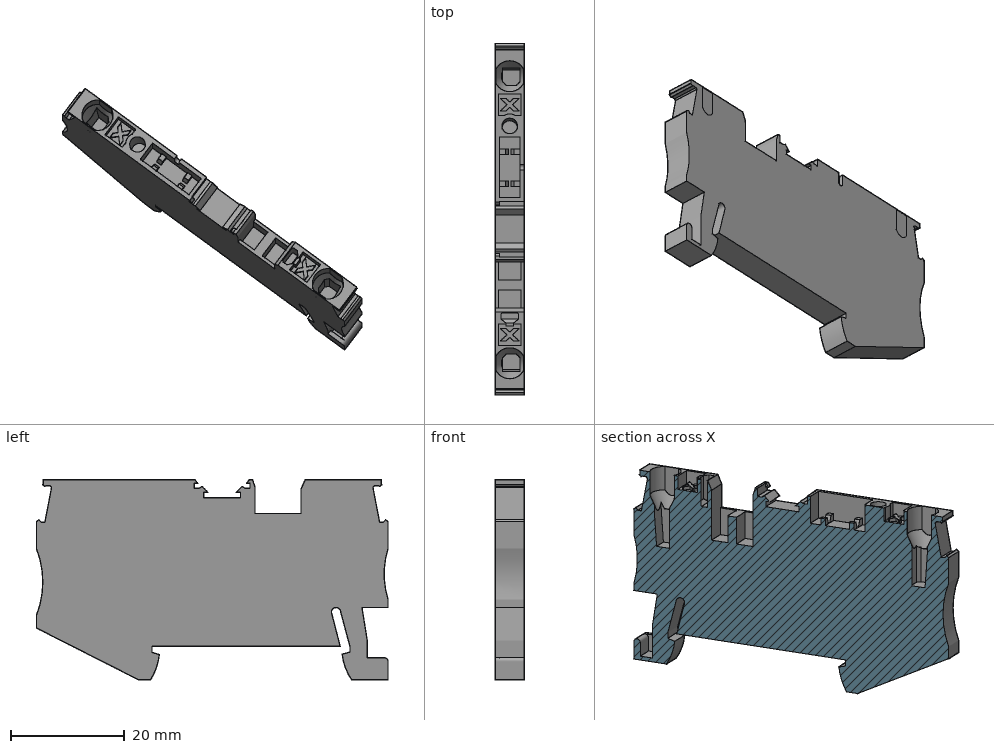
import cadquery as cq

length = 61.9
height = 35.2
width = 5.15
end = length / 2

floor_z = 5.9
arm_top_z = 12.7
foot_z = 3.9
foot_radius = 0.7
foot_slot_depth = 3.1
foot_wall = 0.8
arm_y = -27.3
ledge_z = 27.75
ridge_top_z = 28.15
lip_z = 34.35
lip_y = 29.8
heel_z = 9.1

groove_y = -1.75
groove_half = 4.9
groove_z = 33.75
groove_floor_half = 3.2
groove_floor_z = 32.05

notch_y = (-15.6, -7.55)
notch_z = 29.3

pair_middle_y = -0.09
wire_hole_y = 25.25
wire_hole_radius = 2.7
wire_hole_half_width = 2.385
wire_mouth_depth = 4.35
wire_funnel_depth = 3.1
wire_funnel_end_radius = 1.5
wire_duct_depth = 6.2
wire_duct_x = (-1.25, 1.8)
wire_duct_y = (23.65, 26.75)
wire_duct_corner = 0.6
wire_duct_slope = 0.45
button_y = 20.25
button_size = (3.95, 3.8)
button_depth = 2.5
cross_height = 0.6
cross_half_size = (1.7, 1.1)
cross_bar_width = 1.0

test_hole_y = 16.4
test_boss_radius = 2.1
test_hole_radius = 1.35
test_hole_depth = 4.95
test_hole_tilt = 5.0
test_hole_overshoot = 0.3

label_y = (3.8, 14.4)
label_half_width = 1.8
label_depth = 4.95
clip_y = (6.25, 11.9)
clip_length = 1.0
clip_height = 1.25
clip_reach = 1.55
clip_slope = 0.5
slit_y = 9.15
slit_width = 1.0
slit_depth = 2.55

bridge_half_width = 2.0
bridge_length = 3.15
bridge_depth = 4.95

key_half_width = 1.55
key_y = (-18.25, -17.6, -16.45)
key_tip_half = 0.7
key_corner = 0.4
key_depth = 4.95
key_ramp_height = 0.7
key_rib_y = (-18.8, -18.4)

hook_width = 0.8


def box(x, y, z):
    """Box between the (low, high) limits given along each axis."""
    size = [high - low for low, high in (x, y, z)]
    return cq.Workplane("XY").box(*size, centered=False).translate((x[0], y[0], z[0]))


def prism(points, x):
    """Prism along X from a closed outline of (y, z) points."""
    return cq.Workplane("YZ", origin=(x[0], 0, 0)).polyline(points).close().extrude(x[1] - x[0])


def end_neck(side):
    """Points of one end neck, from the end face up to the top of the lip."""
    points = [
        (end, ridge_top_z - 0.3),
        (end - 0.45, ridge_top_z),
        (end - 0.85, ledge_z),
        (end - 1.5, ledge_z),
        (end - 2.65, lip_z - 0.5),
        (end - 2.4, lip_z - 0.25),
        (end - 1.7, lip_z - 0.25),
        (end - 1.5, lip_z - 0.4),
        (end - 1.05, lip_z),
        (lip_y, lip_z),
        (lip_y, height),
    ]
    return [(side * y, z) for y, z in points]


def groove_side(side):
    """Points of one groove flank, from the top edge down to the groove floor."""
    points = [
        (groove_half, height),
        (groove_half, groove_z),
        (4.0, groove_z),
        (3.5, 34.05),
        (2.5, 33.0),
        (groove_floor_half, 33.0),
        (groove_floor_half, groove_floor_z),
    ]
    return [(groove_y + side * y, z) for y, z in points]


def make_body():
    top = (
        end_neck(1)
        + groove_side(1)
        + groove_side(-1)[::-1]
        + [
            (-7.1, height),
            (notch_y[1], 33.85),
            (notch_y[1], notch_z),
            (notch_y[0], notch_z),
            (notch_y[0], 33.55),
            (-16.35, height),
        ]
        + end_neck(-1)[::-1]
    )
    outline = cq.Workplane("YZ", origin=(-width / 2, 0, 0)).moveTo(end, heel_z)
    outline = outline.lineTo(end, 11.3).threePointArc((end - 1.1, 17.2), (end, 23.1))
    for point in top:
        outline = outline.lineTo(*point)
    outline = outline.lineTo(-end, 23.1).threePointArc((0.7 - end, 18.6), (-end, 14.1))
    outline = outline.lineTo(-end, arm_top_z).lineTo(-26.4, arm_top_z)
    outline = outline.lineTo(arm_y, 6.9).lineTo(arm_y, foot_z)
    outline = outline.lineTo(foot_radius - end, foot_z)
    outline = outline.radiusArc((-end, foot_z - foot_radius), -foot_radius)
    outline = outline.lineTo(-end, 0).lineTo(-24.5, 0)
    outline = outline.threePointArc((-23.45, 2.0), (-22.85, 4.5))
    outline = outline.lineTo(-24.2, 4.9).lineTo(-24.2, floor_z)
    outline = outline.lineTo(-22.6, 11.9).threePointArc((-21.8, arm_top_z), (-21.0, 11.9))
    outline = outline.lineTo(-22.55, floor_z)
    outline = outline.lineTo(10.6, floor_z).lineTo(10.6, 4.8).lineTo(9.3, 4.45)
    outline = outline.threePointArc((9.8, 2.2), (10.85, 0))
    return outline.lineTo(13.0, 0).close().extrude(width)


def foot_slot():
    """Slot between the spring arm and the rounded lip of the foot, open towards +X."""
    x = (foot_wall - width / 2, width / 2)
    crest_y = foot_radius - end
    shoulder_z = foot_z - foot_radius
    deep = box(x, (crest_y + foot_radius, arm_y), (foot_z - foot_slot_depth, foot_z))
    lip = cq.Workplane("YZ", origin=(x[0], crest_y, shoulder_z)).circle(foot_radius).extrude(x[1] - x[0])
    rounding = box(x, (crest_y, crest_y + foot_radius), (shoulder_z, foot_z)).cut(lip)
    return deep.union(rounding)


def marker_hook(side):
    """Small hook overhanging one edge of the marker groove."""
    points = [(groove_half, height), (4.75, height), (4.3, 34.55), (groove_half, 34.55)]
    x = (-width / 2, hook_width - width / 2)
    return prism([(groove_y + side * y, z) for y, z in points], x)


def wire_entry():
    """Flat-sided round mouth of the +Y wire entry, its funnel and the square duct below."""
    funnel_top = height - wire_mouth_depth
    duct_top = funnel_top - wire_funnel_depth
    mouth = cq.Workplane("XY", origin=(0, wire_hole_y, funnel_top))
    mouth = mouth.circle(wire_hole_radius).extrude(wire_mouth_depth)
    cone = cq.Solid.makeCone(
        wire_hole_radius,
        wire_funnel_end_radius,
        wire_funnel_depth,
        cq.Vector(0, wire_hole_y, funnel_top),
        cq.Vector(0, 0, -1),
    )
    half = wire_hole_half_width
    entry = mouth.union(cone).intersect(box((-half, half), (0, end), (0, height)))
    inner, outer = wire_duct_y
    base = duct_top - wire_duct_depth
    side_shape = [
        (inner, funnel_top),
        (outer, funnel_top),
        (outer, duct_top),
        (outer - wire_duct_slope, base),
        (inner, base),
    ]
    duct = prism(side_shape, wire_duct_x).edges("|Z and <Y").chamfer(wire_duct_corner)
    return entry.union(duct)


def button_pocket():
    """Pocket of the +Y release button around its raised cross."""
    floor = height - button_depth
    start = cq.Workplane("XY", origin=(0, button_y, floor))
    pocket = start.rect(*button_size).extrude(button_depth)
    half_x, half_y = cross_half_size
    for turn in (1, -1):
        bar = [
            (-turn * half_x, -half_y),
            (turn * (cross_bar_width - half_x), -half_y),
            (turn * half_x, half_y),
            (turn * (half_x - cross_bar_width), half_y),
        ]
        pocket = pocket.cut(start.polyline(bar).close().extrude(cross_height))
    return pocket


def test_boss():
    boss = cq.Workplane("XY", origin=(0, test_hole_y, height - button_depth))
    return boss.circle(test_boss_radius).extrude(button_depth)


def test_hole():
    hole = cq.Workplane("XY", origin=(0, 0, test_hole_overshoot)).circle(test_hole_radius)
    hole = hole.extrude(-test_hole_depth - test_hole_overshoot)
    hole = hole.rotate((0, 0, 0), (1, 0, 0), -test_hole_tilt)
    return hole.translate((0, test_hole_y, height))


def label_pocket():
    half = label_half_width
    floor = height - label_depth
    pocket = box((-half, half), label_y, (floor, height))
    clip_outline = [
        (half, floor),
        (half - clip_reach, floor),
        (half - clip_reach + clip_slope, floor + clip_height),
        (half, floor + clip_height),
    ]
    for y in clip_y:
        for side in (1, -1):
            clip = cq.Workplane("XZ", origin=(0, y + clip_length / 2, 0))
            clip = clip.polyline([(side * x, z) for x, z in clip_outline]).close().extrude(clip_length)
            pocket = pocket.cut(clip)
    return pocket


def side_slit():
    """Round-bottomed slit through the +X wall of the label pocket."""
    radius = slit_width / 2
    bottom = height - slit_depth + radius
    y = (slit_y - radius, slit_y + radius)
    slit = box((0, width), y, (bottom, height))
    return slit.union(cq.Workplane("YZ", origin=(0, slit_y, bottom)).circle(radius).extrude(width))


def bridge_pocket(low_y):
    half = bridge_half_width
    return box((-half, half), (low_y, low_y + bridge_length), (notch_z - bridge_depth, notch_z))


def keyhole():
    """Rounded hole that narrows over a ramp towards the button pocket."""
    tip, shoulder, wide = key_y
    floor = height - key_depth
    half = key_half_width
    outline = [(-half, wide), (half, wide), (half, shoulder), (key_tip_half, tip)]
    outline += [(-key_tip_half, tip), (-half, shoulder)]
    hole = cq.Workplane("XY", origin=(0, 0, floor)).polyline(outline).close().extrude(key_depth)
    hole = hole.edges("|Z and >Y").fillet(key_corner)
    ramp = [(tip, floor), (shoulder, floor), (tip, floor + key_ramp_height)]
    return hole.cut(prism(ramp, (-half, half)))


result = make_body().cut(foot_slot())
for side in (1, -1):
    result = result.union(marker_hook(side))
for cutter in (wire_entry(), button_pocket()):
    for paired in (cutter, cutter.mirror("XZ")):
        result = result.cut(paired.translate((0, pair_middle_y, 0)))
result = result.union(test_boss())
result = result.union(box((-key_tip_half, key_tip_half), key_rib_y, (height - button_depth, height)))
result = result.cut(test_hole()).cut(label_pocket()).cut(side_slit()).cut(keyhole())
for low_y in (notch_y[0], notch_y[1] - bridge_length):
    result = result.cut(bridge_pocket(low_y))